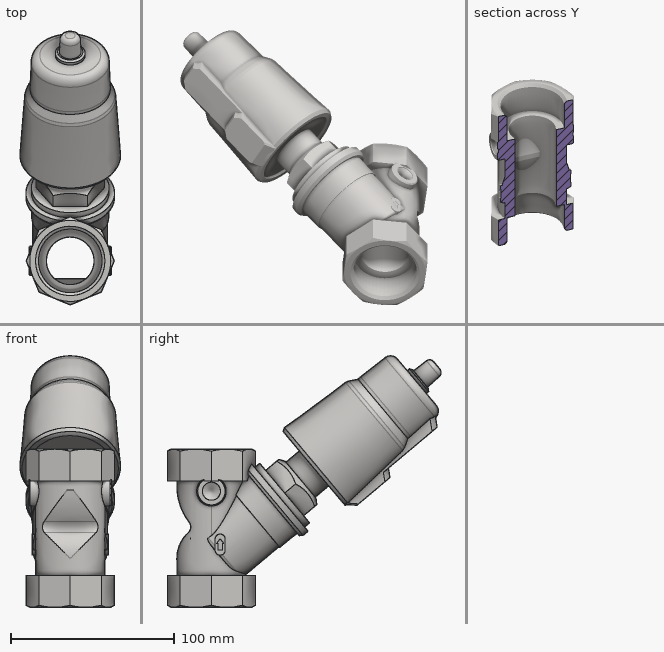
import cadquery as cq
import math


end_z = 48.5
pipe_radius = 42.5 / 2
bore_radius = 29.0 / 2

octagon_corner_radius = 27.0
octagon_height = 19.6
octagon_face_radius = 24.8
octagon_chamfer_slope = 0.6
thread_radius = 19.5
thread_depth = 19.6
thread_mouth_radius = pipe_radius
octagon_base_z = end_z - octagon_height

notch_depth_y = -12.7
notch_edge_y = -13.9
notch_upper_edge_z = 4.0
notch_middle_z = 0.7
notch_lower_edge_z = -2.5
notch_top_y = -21.1
notch_top_z = 23.3
notch_flank_y = -19.1
notch_flank_z = 13.7
ridge_peak_y = -10.9
ridge_half_height = 11.7
ridge_flat_half_height = 1.7

boss_radius = 9.0
boss_z = 22.6
boss_face_x = 25.1
boss_edge_chamfer = 0.7
boss_hole_radius = 5.5
boss_hole_depth = 0.5
boss_hole_tip_depth = 4.2

pad_width = 6.2
pad_length = 12.9
pad_y = 5.4
pad_z = -10.0
pad_face_x = 23.3
arrow_relief = 0.3
arrow_tip_rise = 3.5
arrow_head_rise = 0.8
arrow_foot_drop = 3.2
arrow_head_half_width = 2.2
arrow_stem_half_width = 1.3

axis_tilt = 50.0
axis_crossing_z = -16.1

branch_base = 3.4
branch_fillet = 1.7
branch_radius = 23.0
branch_collar_radius = 23.6
branch_collar_top_radius = 24.0
branch_collar_base = 34.9
flange_radius = 27.2
flange_lower_radius = 25.8
flange_chamfer_base = 48.6
flange_base = 50.5
flange_top = 54.5
bonnet_radius = 23.8
bonnet_top = 58.5
nut_flats = 36.2
nut_top = 71.3
nut_face_radius = 14.8
nut_chamfer_slope = 0.64
neck_radius = 28.0 / 2

housing_base = 82.0
housing_radius = 30.8
housing_chamfer_height = 2.2
housing_chamfer_width = 1.3
housing_top = 130.6
housing_top_radius = 28.0
shoulder_base = 132.8
shoulder_base_radius = 27.3
shoulder_top = 137.6
cap_base = 139.8
cap_base_radius = 24.6
cap_top = 164.1
cap_side_radius = 24.0
cap_fillet = 5.4
recess_radius = 26.2
recess_depth = 1.7

stem_collar_radius = 18.3 / 2
stem_collar_top = 166.0
stem_ring_radius = 7.7
stem_ring_top = 167.0
stem_base_radius = 6.7
stem_radius = 12.2 / 2
stem_top = 180.0
stem_fillet = 3.2

block_half_width = 9.0
block_inner = 20.1
block_upper_face = 29.2
block_lower_face = 34.2
block_base = 82.5
block_base_corner = 29.3
block_base_chamfer_top = 87.5
block_step = 114.0
block_top = 156.0
block_end_slope = 0.6
block_edge_chamfer = 3.5
block_base_edge_chamfer = 1.0


def cylinder(radius, bottom, top):
    return cq.Workplane("XY").workplane(offset=bottom).circle(radius).extrude(top - bottom)


def cone_envelope(face_radius, face_z, slope, bottom):
    """Solid of revolution that bevels the corners below a flat end face."""
    drop = face_z - bottom
    profile = [(0, bottom), (face_radius + drop / slope, bottom), (face_radius, face_z), (0, face_z)]
    return cq.Workplane("XZ").polyline(profile).close().revolve(360, (0, 0), (0, 1))


def mirrored_x(shape):
    return shape.union(shape.mirror("YZ"))


def octagon_end():
    octagon = (
        cq.Workplane("XY")
        .workplane(offset=octagon_base_z)
        .polygon(8, 2 * octagon_corner_radius)
        .extrude(octagon_height)
    )
    return octagon.intersect(
        cone_envelope(octagon_face_radius, end_z, octagon_chamfer_slope, octagon_base_z)
    )


def thread_bore():
    chamfer_base = end_z - (thread_mouth_radius - thread_radius)
    profile = [
        (0, end_z - thread_depth),
        (thread_radius, end_z - thread_depth),
        (thread_radius, chamfer_base),
        (thread_mouth_radius, end_z),
        (0, end_z),
    ]
    return cq.Workplane("XZ").polyline(profile).close().revolve(360, (0, 0), (0, 1))


def waist_notch():
    notch_bottom_z = notch_lower_edge_z - math.sqrt(pipe_radius**2 - notch_edge_y**2)
    outside_y = -2 * pipe_radius
    return (
        cq.Workplane("YZ")
        .moveTo(outside_y, notch_top_z)
        .lineTo(notch_top_y, notch_top_z)
        .threePointArc((notch_flank_y, notch_flank_z), (notch_edge_y, notch_upper_edge_z))
        .threePointArc((notch_depth_y, notch_middle_z), (notch_edge_y, notch_lower_edge_z))
        .radiusArc((-pipe_radius, notch_bottom_z), -pipe_radius)
        .lineTo(outside_y, notch_bottom_z)
        .close()
        .extrude(pipe_radius, both=True)
    )


def bore_ridge():
    profile = [
        (-pipe_radius, ridge_half_height),
        (-bore_radius, ridge_half_height),
        (ridge_peak_y, ridge_flat_half_height),
        (ridge_peak_y, -ridge_flat_half_height),
        (-bore_radius, -ridge_half_height),
        (-pipe_radius, -ridge_half_height),
    ]
    ridge = cq.Workplane("YZ").polyline(profile).close().extrude(pipe_radius, both=True)
    return ridge.translate((0, 0, notch_middle_z))


def side_boss():
    boss = cq.Workplane("YZ").center(0, boss_z).circle(boss_radius).extrude(boss_face_x)
    return mirrored_x(boss.faces(">X").chamfer(boss_edge_chamfer))


def side_boss_hole():
    shoulder_x = boss_face_x - boss_hole_depth
    tip_x = boss_face_x - boss_hole_tip_depth
    profile = [(tip_x, 0), (shoulder_x, boss_hole_radius), (boss_face_x, boss_hole_radius), (boss_face_x, 0)]
    hole = cq.Workplane("XZ").polyline(profile).close().revolve(360, (0, 0), (1, 0))
    return mirrored_x(hole.translate((0, 0, boss_z)))


def arrow_pad():
    pad = (
        cq.Workplane("YZ", origin=(0, pad_y, pad_z))
        .slot2D(pad_length, pad_width, 90)
        .extrude(pad_face_x)
    )
    half_arrow = [
        (0, arrow_tip_rise),
        (arrow_head_half_width, arrow_head_rise),
        (arrow_stem_half_width, arrow_head_rise),
        (arrow_stem_half_width, -arrow_foot_drop),
    ]
    other_half = [(-y, z) for y, z in reversed(half_arrow[1:])]
    arrow = (
        cq.Workplane("YZ", origin=(pad_face_x - arrow_relief, pad_y, pad_z))
        .polyline(half_arrow + other_half)
        .close()
        .extrude(arrow_relief)
    )
    return mirrored_x(pad.cut(arrow))


def branch():
    outline = [
        (0, branch_base),
        (branch_radius, branch_base),
        (branch_radius, branch_collar_base),
        (branch_collar_radius, branch_collar_base),
        (branch_collar_top_radius, flange_chamfer_base),
        (flange_lower_radius, flange_chamfer_base),
        (flange_radius, flange_base),
        (flange_radius, flange_top),
        (bonnet_radius, flange_top),
        (bonnet_radius, bonnet_top),
        (0, bonnet_top),
    ]
    body = cq.Workplane("XZ").polyline(outline).close().revolve(360, (0, 0), (0, 1))
    return body.faces("<Z").edges().fillet(branch_fillet)


def nut():
    corner_diameter = nut_flats / math.cos(math.radians(30))
    hexagon = (
        cq.Workplane("XY")
        .workplane(offset=bonnet_top)
        .polygon(6, corner_diameter)
        .extrude(nut_top - bonnet_top)
    )
    return hexagon.intersect(cone_envelope(nut_face_radius, nut_top, nut_chamfer_slope, bonnet_top))


def housing():
    diagonal = math.sqrt(0.5)
    cap_flat_radius = cap_side_radius - cap_fillet
    cap_fillet_base = cap_top - cap_fillet
    return (
        cq.Workplane("XZ")
        .moveTo(0, housing_base)
        .lineTo(housing_radius - housing_chamfer_width, housing_base)
        .lineTo(housing_radius, housing_base + housing_chamfer_height)
        .lineTo(housing_top_radius, housing_top)
        .lineTo(shoulder_base_radius, shoulder_base)
        .lineTo(cap_base_radius, shoulder_top)
        .lineTo(cap_base_radius, cap_base)
        .lineTo(cap_side_radius, cap_fillet_base)
        .threePointArc(
            (cap_flat_radius + cap_fillet * diagonal, cap_fillet_base + cap_fillet * diagonal),
            (cap_flat_radius, cap_top),
        )
        .lineTo(0, cap_top)
        .close()
        .revolve(360, (0, 0), (0, 1))
    )


def port_block():
    step_inner = block_step + block_end_slope * (block_lower_face - block_upper_face)
    top_inner = block_top + block_end_slope * (block_upper_face - block_inner)
    profile = [
        (block_inner, block_base),
        (block_base_corner, block_base),
        (block_lower_face, block_base_chamfer_top),
        (block_lower_face, block_step),
        (block_upper_face, step_inner),
        (block_upper_face, block_top),
        (block_inner, top_inner),
    ]
    block = cq.Workplane("YZ").polyline(profile).close().extrude(block_half_width, both=True)
    end_direction = cq.Vector(0, -1, block_end_slope)
    end_edges = block.edges(cq.selectors.ParallelDirSelector(end_direction))
    block = end_edges.chamfer(block_edge_chamfer)
    base_direction = cq.Vector(
        0, block_lower_face - block_base_corner, block_base_chamfer_top - block_base
    )
    base_edges = block.edges(cq.selectors.ParallelDirSelector(base_direction))
    return base_edges.chamfer(block_base_edge_chamfer)


def stem():
    outline = [
        (0, cap_top),
        (stem_collar_radius, cap_top),
        (stem_collar_radius, stem_collar_top),
        (stem_ring_radius, stem_ring_top),
        (stem_base_radius, stem_ring_top),
        (stem_radius, stem_top),
        (0, stem_top),
    ]
    body = cq.Workplane("XZ").polyline(outline).close().revolve(360, (0, 0), (0, 1))
    return body.faces(">Z").edges().fillet(stem_fillet)


def actuator():
    shell = housing().union(port_block())
    shell = shell.cut(cylinder(recess_radius, housing_base, housing_base + recess_depth))
    neck = cylinder(neck_radius, nut_top, housing_base + recess_depth)
    upright = branch().union(nut()).union(neck).union(shell).union(stem())
    return upright.rotate((0, 0, 0), (1, 0, 0), -axis_tilt).translate((0, 0, axis_crossing_z))


pipe = cylinder(pipe_radius, -end_z, end_z).cut(waist_notch())
upper_end = octagon_end()
lower_end = upper_end.mirror("XY")
flow_passage = cylinder(bore_radius, -end_z, end_z).cut(bore_ridge())
upper_thread = thread_bore()
lower_thread = upper_thread.mirror("XY")

result = (
    pipe.union(actuator())
    .union(side_boss())
    .union(arrow_pad())
    .union(upper_end)
    .union(lower_end)
    .cut(side_boss_hole())
    .cut(flow_passage)
    .cut(upper_thread)
    .cut(lower_thread)
)